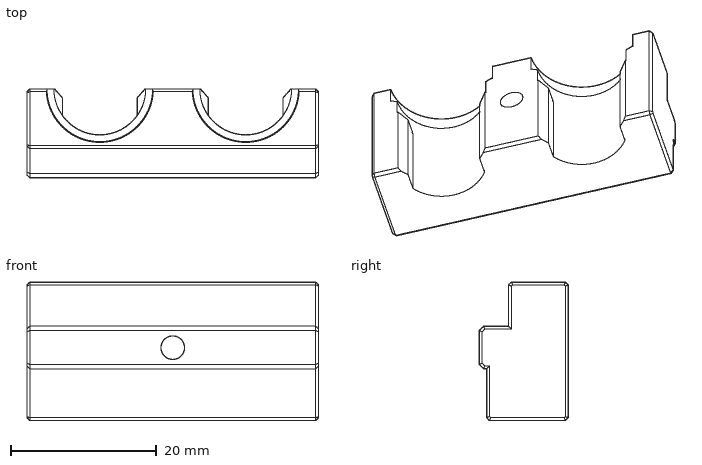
import math

import cadquery as cq

length = 40.0
height = 19.0
upper_depth = 8.2
lower_depth = 11.2
rib_depth = 12.2
back = rib_depth
edge_chamfer = 0.4

rib_bottom = 7.1
rib_top = 12.95
rib_chamfer = 0.6

hole_diameter = 3.2
hole_height = 10.0

seat_spacing = 20.0
collar_radius = 7.25
collar_depth = 3.0
bore_radius = 6.3
rim_width = 0.1
rim_height = 0.2
ledge_angle = 30.0
ledge_slope = math.tan(math.radians(ledge_angle))
collar_floor = height - collar_depth
bore_top = collar_floor - (collar_radius - bore_radius) * ledge_slope

lip_half_gap = 5.1
lip_corner_width = 1.1
lip_corner_depth = 1.25
bore_depth = 2.3
lip_outer_height = bore_top - bore_depth
lip_inner_height = lip_outer_height - (bore_radius - lip_half_gap) * ledge_slope


def make_block():
    """Stepped profile extruded along X, with every outer edge chamfered."""
    profile = [
        (back, 0),
        (back - lower_depth, 0),
        (back - lower_depth, rib_bottom),
        (rib_chamfer, rib_bottom),
        (0, rib_bottom + rib_chamfer),
        (0, rib_top - rib_chamfer),
        (rib_chamfer, rib_top),
        (back - upper_depth, rib_top),
        (back - upper_depth, height),
        (back, height),
    ]
    block = cq.Workplane("YZ").polyline(profile).close().extrude(length / 2, both=True)
    block = block.faces(">Z or <Z").edges("|X").chamfer(edge_chamfer)
    return block.faces("<X or >X").edges().chamfer(edge_chamfer)


def make_collar_cutter():
    """Collar pocket with a flared rim and a conical floor, centred on the Z axis."""
    profile = [
        (0, bore_top),
        (bore_radius, bore_top),
        (collar_radius, collar_floor),
        (collar_radius, height - rim_height),
        (collar_radius + rim_width, height),
        (0, height),
    ]
    return cq.Workplane("XZ").polyline(profile).close().revolve(360, (0, 0), (0, 1))


def make_bore_cutter():
    """Round bore that is narrowed between the lips below their sloped tops."""
    passage = [
        (-lip_half_gap, 0),
        (lip_half_gap, 0),
        (lip_half_gap, lip_inner_height),
        (bore_radius, lip_outer_height),
        (bore_radius, height),
        (-bore_radius, height),
        (-bore_radius, lip_outer_height),
        (-lip_half_gap, lip_inner_height),
    ]
    bore = cq.Workplane("XY").circle(bore_radius).extrude(height)
    opening = cq.Workplane("XZ").polyline(passage).close().extrude(bore_radius, both=True)
    return bore.intersect(opening)


def make_mouth_cutter():
    """Tapered mouth that cuts the rear corners off both lips."""
    mouth = [
        (-lip_half_gap - lip_corner_width, 0),
        (-lip_half_gap, -lip_corner_depth),
        (lip_half_gap, -lip_corner_depth),
        (lip_half_gap + lip_corner_width, 0),
    ]
    return cq.Workplane("XY").polyline(mouth).close().extrude(height)


def make_hole_cutter():
    """Cylinder through the full depth, along Y."""
    start = cq.Workplane("XZ").center(0, hole_height)
    return start.circle(hole_diameter / 2).extrude(-back)


result = make_block().cut(make_hole_cutter())
seat_cutters = [make_collar_cutter(), make_bore_cutter(), make_mouth_cutter()]
for seat_x in (-seat_spacing / 2, seat_spacing / 2):
    for cutter in seat_cutters:
        result = result.cut(cutter.translate((seat_x, back, 0)))